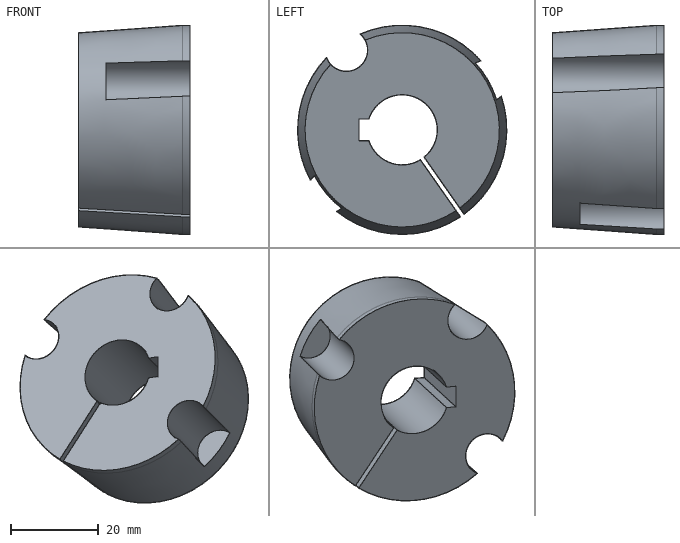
import cadquery as cq
import math

length = 25.4
rim_width = 1.75
large_radius = 23.8
small_radius = 22.1
bore_radius = 7.95
keyway_width = 4.85
keyway_reach = 9.8
slit_width = 1.0
screw_radius = 4.8
screw_circle_radius = 22.15
blind_start = 6.35

through_screw_angle = 55
blind_screw_angles = (150, -40)
slit_angle = through_screw_angle + 180


def tapered_body():
    """Cone with a short cylindrical rim at its large end."""
    return (
        cq.Workplane("XY")
        .moveTo(0, 0)
        .lineTo(0, small_radius)
        .lineTo(length - rim_width, large_radius)
        .lineTo(length, large_radius)
        .lineTo(length, 0)
        .close()
        .revolve(360, (0, 0, 0), (1, 0, 0))
    )


def screw_hole(angle, start):
    """Half-open screw hole along X, from start to the large end."""
    y = screw_circle_radius * math.cos(math.radians(angle))
    z = screw_circle_radius * math.sin(math.radians(angle))
    return (
        cq.Workplane("YZ", origin=(start, 0, 0))
        .center(y, z)
        .circle(screw_radius)
        .extrude(length - start)
    )


def radial_slot(width, reach, angle):
    """Full-length slot running outwards from the axis."""
    slot = cq.Workplane("XY").box(length, reach, width, centered=(False, False, True))
    return slot.rotate((0, 0, 0), (1, 0, 0), angle)


bore = cq.Workplane("YZ").circle(bore_radius).extrude(length)

result = tapered_body().cut(bore)
result = result.cut(radial_slot(keyway_width, keyway_reach, 0))
result = result.cut(radial_slot(slit_width, large_radius + slit_width, slit_angle))
result = result.cut(screw_hole(through_screw_angle, 0))
for blind_angle in blind_screw_angles:
    result = result.cut(screw_hole(blind_angle, blind_start))